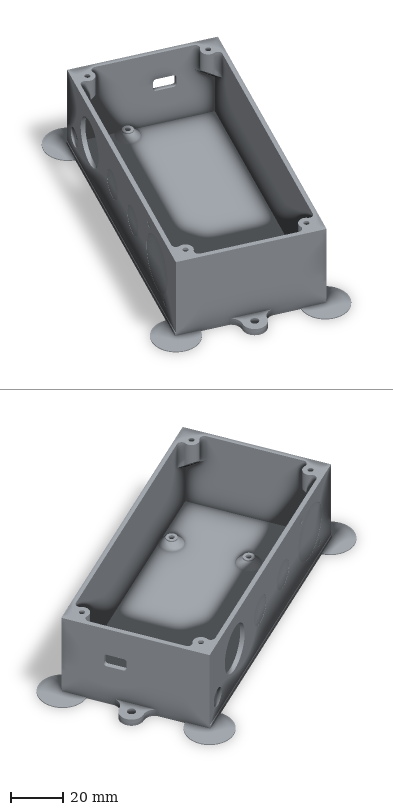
import cadquery as cq
import math

length = 144.5
width = 80.6
height = 36.5
pad_radius = 10.0
pad_thickness = 0.5
pad_x = length / 2 - pad_radius
pad_y = width / 2 - pad_radius

box_length = 125.1
box_width = 61.3
wall = 1.9
floor = 1.9
frame_shift = 0.1
half_length = box_length / 2
half_width = box_width / 2
inner_half_length = half_length - wall
inner_half_width = half_width - wall
front_face_y = frame_shift - half_width

post_inset = 6.0
post_radius = 3.2
post_blend = 1.9
post_front_height = 8.7
post_hole_radius = 1.2

standoff_cone_height = 2.5
standoff_neck_height = 0.6
standoff_base_radius = 5.2
standoff_neck_radius = 2.3
standoff_hole_radius = 1.2
standoff_left_x = -57.8
standoff_right_x = 35.0
standoff_front_y = -7.5
standoff_back_y = 24.3
standoff_places = [
    (standoff_left_x, standoff_front_y),
    (standoff_right_x, standoff_front_y),
    (standoff_right_x, standoff_back_y),
]

ear_radius = 5.0
ear_blend = 4.6
ear_thickness = 3.0
ear_hole_radius = 1.7
ear_reach = 4.5

front_openings = [(-36.7, 20.4, 10.3), (-54.3, 9.7, 4.0)]
window_y = 8.5
window_z = 21.1
window_width = 9.4
window_height = 5.6
window_corner = 1.2

recess_depth = 0.07
knockout_z = 19.5
button_radius = 6.2
left_button_x = -10.5
right_button_x = 13.0
connector_x = 40.9
connector_radius = 12.0
screw_radius = 1.6
screw_dx = 9.1
screw_dz = 12.3
knockouts = [
    (left_button_x, knockout_z, button_radius),
    (right_button_x, knockout_z, button_radius),
    (connector_x, knockout_z, connector_radius),
    (connector_x - screw_dx, knockout_z + screw_dz, screw_radius),
    (connector_x + screw_dx, knockout_z - screw_dz, screw_radius),
]


def cylinder(x, y, z, radius, tall):
    return cq.Workplane("XY", origin=(x, y, z)).circle(radius).extrude(tall)


def front_cylinder(x, z, radius, depth):
    """Cylinder reaching inwards from the front face."""
    return cq.Workplane("XZ", origin=(x, front_face_y, z)).circle(radius).extrude(-depth)


def make_floor():
    plate = cq.Workplane("XY", origin=(0, -frame_shift, 0)).rect(box_length, box_width)
    return plate.extrude(floor)


def make_cavity():
    opening = cq.Workplane("XY", origin=(0, frame_shift, floor))
    return opening.rect(2 * inner_half_length, 2 * inner_half_width).extrude(height - floor)


def make_walls():
    block = cq.Workplane("XY", origin=(0, frame_shift, floor)).rect(box_length, box_width)
    return block.extrude(height - floor).cut(make_cavity())


def make_post(side_x, side_y):
    """Round post around a screw hole, blended into both walls of its corner."""
    gap = post_inset - wall
    joint_angle = math.asin((gap - post_blend) / (post_radius + post_blend))
    blend_along = (post_radius + post_blend) * math.cos(joint_angle)
    joint_toward = post_radius * math.sin(joint_angle)
    joint_along = post_radius * math.cos(joint_angle)
    blend_mid_angle = (math.pi / 2 - joint_angle) / 2
    mid_toward = gap - post_blend + post_blend * math.sin(blend_mid_angle)
    mid_along = blend_along - post_blend * math.cos(blend_mid_angle)
    front = post_radius * math.sqrt(0.5)
    corner_distance = gap * math.sqrt(2) + post_radius
    post_height = post_front_height + corner_distance

    post = (
        cq.Workplane("XY")
        .moveTo(post_inset, post_inset)
        .lineTo(-blend_along, post_inset)
        .lineTo(-blend_along, gap)
        .threePointArc((-mid_along, mid_toward), (-joint_along, joint_toward))
        .threePointArc((-front, -front), (joint_toward, -joint_along))
        .threePointArc((mid_toward, -mid_along), (gap, -blend_along))
        .lineTo(post_inset, -blend_along)
        .close()
        .extrude(post_height)
    )
    slope_plane = cq.Plane(origin=(gap, gap, 0), xDir=(-1, -1, 0), normal=(-1, 1, 0))
    below_slope = (
        cq.Workplane(slope_plane)
        .polyline([(0, 0), (post_height, 0), (post_height, post_height)])
        .close()
        .extrude(post_height, both=True)
    )
    post = post.cut(below_slope).cut(cylinder(0, 0, 0, post_hole_radius, post_height))
    post = post.translate((half_length - post_inset, half_width - post_inset, height - post_height))
    if side_x < 0:
        post = post.mirror("YZ")
    if side_y < 0:
        post = post.mirror("XZ")
    return post.translate((0, frame_shift, 0))


def make_standoff(x, y):
    """Hollow standoff, trimmed where it would run into a wall."""
    standoff_height = standoff_cone_height + standoff_neck_height
    standoff = (
        cq.Workplane("XZ")
        .lineTo(standoff_base_radius, 0)
        .lineTo(standoff_neck_radius, standoff_cone_height)
        .lineTo(standoff_neck_radius, standoff_height)
        .lineTo(0, standoff_height)
        .close()
        .revolve(360, (0, 0, 0), (0, 1, 0))
        .cut(cylinder(0, 0, 0, standoff_hole_radius, standoff_height))
    )
    return standoff.translate((x, y, floor)).intersect(make_cavity())


def make_ear(side_x):
    """Round ear that flares into the end wall with concave arcs."""
    ear_x = half_length + ear_reach
    root_x = half_length - wall
    root_angle = math.asin(ear_reach / ear_blend)
    blend_y = ear_radius + ear_blend
    root_y = blend_y - ear_blend * math.cos(root_angle)
    mid_x = ear_x - ear_blend * math.sin(root_angle / 2)
    mid_y = blend_y - ear_blend * math.cos(root_angle / 2)
    ear = (
        cq.Workplane("XY")
        .moveTo(root_x, -root_y)
        .lineTo(half_length, -root_y)
        .threePointArc((mid_x, -mid_y), (ear_x, -ear_radius))
        .threePointArc((ear_x + ear_radius, 0), (ear_x, ear_radius))
        .threePointArc((mid_x, mid_y), (half_length, root_y))
        .lineTo(root_x, root_y)
        .close()
        .extrude(ear_thickness)
        .cut(cylinder(ear_x, 0, 0, ear_hole_radius, ear_thickness))
    )
    return ear if side_x > 0 else ear.mirror("YZ")


def make_window():
    outline = cq.Workplane("YZ", origin=(-half_length, window_y, window_z))
    block = outline.rect(window_width, window_height).extrude(wall)
    return block.edges("|X").fillet(window_corner)


result = make_floor().union(make_walls())

for side_x in (-1, 1):
    result = result.union(make_ear(side_x))
    for side_y in (-1, 1):
        result = result.union(cylinder(side_x * pad_x, side_y * pad_y, 0, pad_radius, pad_thickness))
        result = result.union(make_post(side_x, side_y))

for x, y in standoff_places:
    result = result.union(make_standoff(x, y))

for x, z, radius in front_openings:
    result = result.cut(front_cylinder(x, z, radius, wall))

for x, z, radius in knockouts:
    result = result.cut(front_cylinder(x, z, radius, recess_depth))

result = result.cut(make_window())